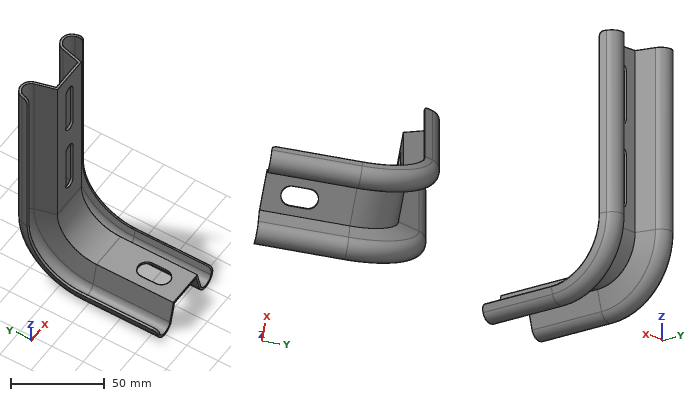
import cadquery as cq
import math

height = 145.0
length = 91.9
width = 55.0

sheet = 1.5
depth = 18.0
lean = math.radians(15)
lobe_radius = 6.5
lobe_center_x = 20.0
lip_edge_depth = 9.0
lip_corner_radius = 2.9

inner_bend_radius = 25.0
outer_bend_radius = inner_bend_radius + depth

upright_slot_length = 33.5
upright_slot_width = 7.0
upright_slot_heights = (71.5, 118.3)
foot_slot_length = 20.2
foot_slot_width = 11.0
foot_slot_from_end = 19.9

sin_lean = math.sin(lean)
cos_lean = math.cos(lean)
tan_lean = math.tan(lean)
lip_outer = (width / 2, -lip_edge_depth)
lip_inner = (lip_outer[0] - sheet * cos_lean, lip_outer[1] - sheet * sin_lean)


def lobe_points(radius):
    """Inner tangent point, crest and outer tangent point of a lobe arc."""
    center_y = -lobe_radius
    tangent_y = center_y + radius * sin_lean
    reach = radius * cos_lean
    return (
        (lobe_center_x - reach, tangent_y),
        (lobe_center_x, center_y + radius),
        (lobe_center_x + reach, tangent_y),
    )


def web_corner(lobe_start, y):
    """Where the leaning side wall meets a web face."""
    return (lobe_start[0] - (lobe_start[1] - y) * tan_lean, y)


def mirrored(point):
    return (-point[0], point[1])


def section(plane):
    """Closed sheet section: a flat web with a rounded channel on each side."""
    back_start, back_crest, back_end = lobe_points(lobe_radius)
    front_start, front_crest, front_end = lobe_points(lobe_radius - sheet)
    back_corner = web_corner(back_start, sheet - depth)
    front_corner = web_corner(front_start, -depth)
    return (
        cq.Workplane(plane)
        .moveTo(*mirrored(back_corner))
        .lineTo(*back_corner)
        .lineTo(*back_start)
        .threePointArc(back_crest, back_end)
        .lineTo(*lip_outer)
        .lineTo(*lip_inner)
        .lineTo(*front_end)
        .threePointArc(front_crest, front_start)
        .lineTo(*front_corner)
        .lineTo(*mirrored(front_corner))
        .lineTo(*mirrored(front_start))
        .threePointArc(mirrored(front_crest), mirrored(front_end))
        .lineTo(*mirrored(lip_inner))
        .lineTo(*mirrored(lip_outer))
        .lineTo(*mirrored(back_end))
        .threePointArc(mirrored(back_crest), mirrored(back_start))
        .close()
    )


def bracket_body():
    """Upright, quarter bend and foot sharing one section."""
    upright_plane = cq.Plane(origin=(0, 0, outer_bend_radius))
    foot_plane = cq.Plane(origin=(0, -outer_bend_radius, 0), xDir=(1, 0, 0), normal=(0, 1, 0))
    upright = section(upright_plane).extrude(height - outer_bend_radius)
    bend = section(upright_plane).revolve(90, (1.5, -outer_bend_radius), (0, -outer_bend_radius))
    foot = section(foot_plane).extrude(outer_bend_radius - length)
    return upright.union(bend).union(foot)


def round_lip_corners(body):
    """Round the lip corners at the free ends of the upright and foot."""
    middle_x = (lip_outer[0] + lip_inner[0]) / 2
    middle_y = (lip_outer[1] + lip_inner[1]) / 2
    for x in (-middle_x, middle_x):
        for corner in ((x, middle_y, height), (x, -length, -middle_y)):
            body = body.edges(cq.NearestToPointSelector(corner)).fillet(lip_corner_radius)
    return body


def cut_slots(body):
    """Cut two slots through the upright web and one through the foot web."""
    upright_slots = (
        cq.Workplane("XZ")
        .pushPoints([(0, z) for z in upright_slot_heights])
        .slot2D(upright_slot_length, upright_slot_width, 90)
        .extrude(depth)
    )
    foot_slot = (
        cq.Workplane("XY")
        .center(0, foot_slot_from_end - length)
        .slot2D(foot_slot_length, foot_slot_width, 90)
        .extrude(depth)
    )
    return body.cut(upright_slots).cut(foot_slot)


result = cut_slots(round_lip_corners(bracket_body()))